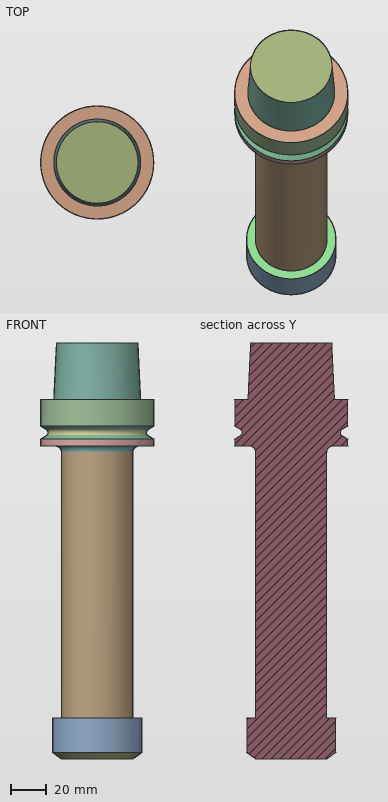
import cadquery as cq

total_length = 232.0

taper_length = 31.5
taper_top_diameter = 45.5
taper_base_diameter = 48.5

flange_diameter = 63.0
flange_thickness = 26.0
groove_diameter = 55.0
groove_top_depth = 14.8
groove_mouth_width = 7.2
groove_wall_height = 2.0
groove_floor_sag = 0.7

neck_diameter = 40.0
neck_fillet_radius = 3.5

nut_diameter = 49.9
nut_length = 23.0
nut_chamfer_height = 3.7
nut_chamfer_width = 5.0

flange_top = total_length - taper_length
flange_bottom = flange_top - flange_thickness
groove_top = flange_top - groove_top_depth
groove_bottom = groove_top - groove_mouth_width


def cylinder(diameter, bottom, top):
    """Cylinder on the Z axis between two heights."""
    return cq.Workplane("XY").workplane(offset=bottom).circle(diameter / 2).extrude(top - bottom)


def make_taper():
    """Shank that narrows toward its upper end."""
    return (
        cq.Workplane("XY")
        .workplane(offset=flange_top)
        .circle(taper_base_diameter / 2)
        .workplane(offset=taper_length)
        .circle(taper_top_diameter / 2)
        .loft(ruled=True)
    )


def make_flange():
    """Disc with a groove whose walls slope outward from a rounded floor."""
    groove_radius = groove_diameter / 2
    wall_foot_radius = groove_radius + groove_floor_sag
    mouth_radius = flange_diameter / 2
    groove = (
        cq.Workplane("XZ")
        .moveTo(mouth_radius, groove_top)
        .lineTo(wall_foot_radius, groove_top - groove_wall_height)
        .threePointArc(
            (groove_radius, (groove_top + groove_bottom) / 2),
            (wall_foot_radius, groove_bottom + groove_wall_height),
        )
        .lineTo(mouth_radius, groove_bottom)
        .close()
        .revolve(360, (0, 0, 0), (0, 1, 0))
    )
    return cylinder(flange_diameter, flange_bottom, flange_top).cut(groove)


def make_neck():
    """Long neck that flares into the flange through a concave fillet."""
    neck_radius = neck_diameter / 2
    fillet_outer_radius = neck_radius + neck_fillet_radius
    fillet_bottom = flange_bottom - neck_fillet_radius
    return (
        cq.Workplane("XZ")
        .moveTo(0, nut_length)
        .lineTo(neck_radius, nut_length)
        .lineTo(neck_radius, fillet_bottom)
        .radiusArc((fillet_outer_radius, flange_bottom), neck_fillet_radius)
        .lineTo(0, flange_bottom)
        .close()
        .revolve(360, (0, 0, 0), (0, 1, 0))
    )


def make_nut():
    """Round nut with a chamfered lower rim."""
    nut_radius = nut_diameter / 2
    return (
        cq.Workplane("XZ")
        .lineTo(nut_radius - nut_chamfer_width, 0)
        .lineTo(nut_radius, nut_chamfer_height)
        .lineTo(nut_radius, nut_length)
        .lineTo(0, nut_length)
        .close()
        .revolve(360, (0, 0, 0), (0, 1, 0))
    )


result = make_taper().union(make_flange()).union(make_neck()).union(make_nut())